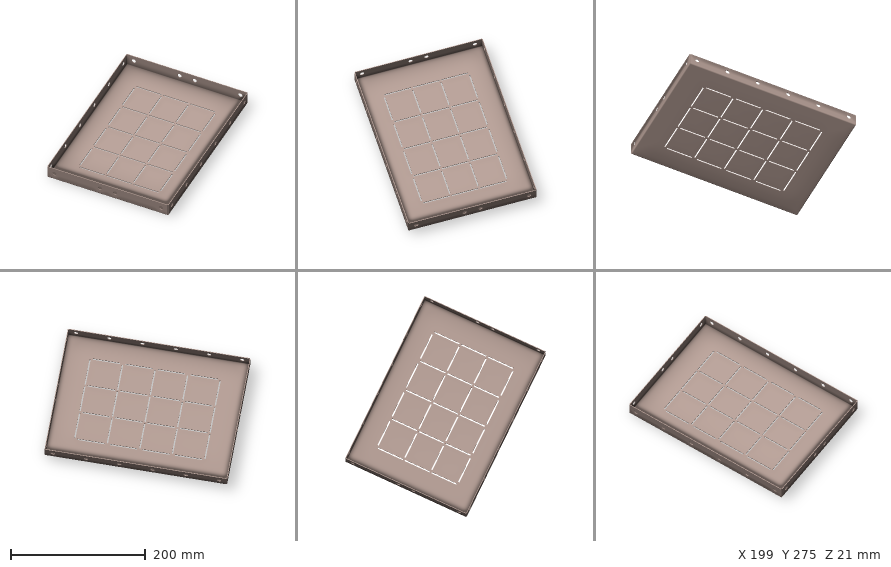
import cadquery as cq
import math

width = 199.0
length = 275.0
height = 21.0

sheet = 1.0
bend_inner = sheet
bend_outer = bend_inner + sheet
wall_end_inset = 1.05

hole_diameter = 6.5
hole_height = 11.5
end_hole_offsets = (12.5, 87.5)
side_hole_pitch = 50.0
side_hole_count = 6

columns = 3
rows = 4
column_pitch = 44.0
row_pitch = 49.0
slot_length = 41.0
slot_width = 2.0


def bent_wall(span, wall_length):
    """Wall and its bend on the +X side of a tray 'span' wide, running along Y."""
    outer = span / 2
    inner = outer - sheet
    bend_x = outer - bend_outer
    bend_z = bend_outer
    outer_mid = bend_outer * math.sin(math.pi / 4)
    inner_mid = bend_inner * math.sin(math.pi / 4)
    return (
        cq.Workplane("XZ")
        .moveTo(bend_x, 0)
        .threePointArc((bend_x + outer_mid, bend_z - outer_mid), (outer, bend_z))
        .lineTo(outer, height)
        .lineTo(inner, height)
        .lineTo(inner, bend_z)
        .threePointArc((bend_x + inner_mid, bend_z - inner_mid), (bend_x, sheet))
        .close()
        .extrude(wall_length / 2, both=True)
    )


def tray():
    """Floor with four bent-up walls that leave the corners open."""
    body = cq.Workplane("XY").box(
        width - 2 * bend_outer, length - 2 * bend_outer, sheet, centered=(True, True, False)
    )
    side_wall = bent_wall(width, length - 2 * wall_end_inset)
    end_wall = bent_wall(length, width - 2 * wall_end_inset)
    for turn in (0, 180):
        body = body.union(side_wall.rotate((0, 0, 0), (0, 0, 1), turn))
        body = body.union(end_wall.rotate((0, 0, 0), (0, 0, 1), turn + 90))
    return body


def wall_holes(plane, offsets, reach):
    """Round cutters through both opposite walls."""
    return (
        cq.Workplane(plane)
        .pushPoints([(offset, hole_height) for offset in offsets])
        .circle(hole_diameter / 2)
        .extrude(reach, both=True)
    )


def centered_steps(count, pitch):
    """Evenly spaced places, centered on zero."""
    return [(i - (count - 1) / 2) * pitch for i in range(count)]


def floor_slots(xs, ys, size_x, size_y):
    """Rectangular cutters through the floor, one at every crossing of xs and ys."""
    return (
        cq.Workplane("XY")
        .pushPoints([(x, y) for x in xs for y in ys])
        .rect(size_x, size_y)
        .extrude(sheet)
    )


end_holes = [side * offset for side in (-1, 1) for offset in end_hole_offsets]
side_holes = centered_steps(side_hole_count, side_hole_pitch)

cell_xs = centered_steps(columns, column_pitch)
cell_ys = centered_steps(rows, row_pitch)
line_xs = centered_steps(columns + 1, column_pitch)
line_ys = centered_steps(rows + 1, row_pitch)

result = (
    tray()
    .cut(wall_holes("XZ", end_holes, length))
    .cut(wall_holes("YZ", side_holes, width))
    .cut(floor_slots(cell_xs, line_ys, slot_length, slot_width))
    .cut(floor_slots(line_xs, cell_ys, slot_width, slot_length))
)